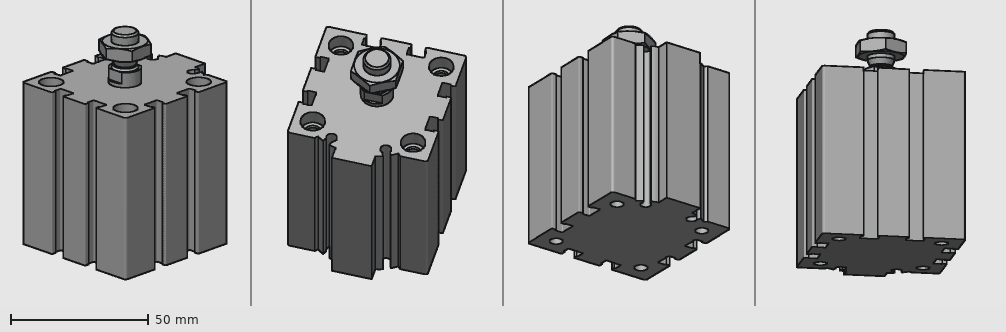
import cadquery as cq
import math

TOTAL_HEIGHT = 83.0
BODY_WIDTH = 53.0
TOTAL_DEPTH = 60.5
BODY_HEIGHT = 63.0
HALF_WIDTH = BODY_WIDTH / 2
CORNER_RADIUS = 1.0

RIB_WIDTH = 15.0
RIB_TOP_Y = TOTAL_DEPTH - HALF_WIDTH
RIB_BASE_Y = 29.0

SHOULDER_END = (10.45, 28.0)
SHOULDER_RADIUS = 5.2

LIP_END = (12.4, 27.4)
NOTCH_BOTTOM = (15.2, 25.5)
NOTCH_END_X = NOTCH_BOTTOM[0] + HALF_WIDTH - NOTCH_BOTTOM[1]

GROOVE_DIAMETER = 4.0
GROOVE_MOUTH = 2.8
GROOVE_CENTER = (10.3, 24.7)
GROOVE_TILT = 22.5
GROOVE_CUT_LENGTH = 6.6

SLOT_OFFSET = 8.5
SLOT_MOUTH = 5.5
SLOT_INNER = 6.6
SLOT_MOUTH_DEPTH = 1.8
SLOT_DEPTH = 5.1
SLOT_EDGE_RADIUS = 0.3

HOLE_PITCH = 38.0
HOLE_DIAMETER = 4.9
COUNTERBORE_DIAMETER = 9.0
COUNTERBORE_DEPTH = 5.7
HOLE_CHAMFER_DIAMETER = 6.0

ROD_DIAMETER = 12.0
THREAD_DIAMETER = 10.0
NECK_DIAMETER = 8.2
THREAD_TIP_DIAMETER = 8.55
THREAD_TIP_CHAMFER = 0.8
ROD_SHOULDER_Z = 68.8
NECK_BOTTOM_Z = 69.6
NECK_TOP_Z = 70.2
THREAD_BOTTOM_Z = 72.5
FLAT_BOTTOM_Z = 64.5
FLAT_SPACING = 10.0

NUT_ACROSS_FLATS = 17.0
NUT_BOTTOM_Z = 73.95
NUT_THICKNESS = 5.1
NUT_FACE_DIAMETER = 16.6
NUT_CHAMFER_HEIGHT = 0.5


def rib_and_shoulders():
    """Middle of the +Y half: rib, rounded shoulders, lips and notches."""
    half_rib = RIB_WIDTH / 2
    notch_x, notch_y = NOTCH_BOTTOM
    outline = (
        cq.Workplane("XY")
        .moveTo(-NOTCH_END_X, HALF_WIDTH)
        .lineTo(-notch_x, notch_y)
        .lineTo(-LIP_END[0], LIP_END[1])
        .lineTo(-SHOULDER_END[0], SHOULDER_END[1])
        .radiusArc((-half_rib, RIB_BASE_Y), SHOULDER_RADIUS)
        .lineTo(-half_rib, RIB_TOP_Y)
        .lineTo(half_rib, RIB_TOP_Y)
        .lineTo(half_rib, RIB_BASE_Y)
        .radiusArc(SHOULDER_END, SHOULDER_RADIUS)
        .lineTo(*LIP_END)
        .lineTo(notch_x, notch_y)
        .lineTo(NOTCH_END_X, HALF_WIDTH)
        .lineTo(NOTCH_END_X, 0)
        .lineTo(-NOTCH_END_X, 0)
        .close()
    )
    return outline.extrude(BODY_HEIGHT)


def square_block():
    """Square block with rounded corners, open where the rib and shoulders go."""
    block = (
        cq.Workplane("XY")
        .rect(BODY_WIDTH, BODY_WIDTH)
        .extrude(BODY_HEIGHT)
        .edges("|Z")
        .fillet(CORNER_RADIUS)
    )
    opening = (
        cq.Workplane("XY")
        .center(0, HALF_WIDTH / 2)
        .rect(2 * NOTCH_END_X, HALF_WIDTH)
        .extrude(BODY_HEIGHT)
    )
    return block.cut(opening)


def t_slot():
    """Cutter for one T-slot open towards -Y, with rounded mouth edges and inner corners."""
    face_y = -HALF_WIDTH
    step_y = face_y + SLOT_MOUTH_DEPTH
    half_mouth = SLOT_MOUTH / 2
    half_flare = half_mouth + SLOT_EDGE_RADIUS
    mouth = (
        cq.Workplane("XY")
        .moveTo(-half_flare, face_y)
        .radiusArc((-half_mouth, face_y + SLOT_EDGE_RADIUS), -SLOT_EDGE_RADIUS)
        .lineTo(-half_mouth, step_y)
        .lineTo(half_mouth, step_y)
        .lineTo(half_mouth, face_y + SLOT_EDGE_RADIUS)
        .radiusArc((half_flare, face_y), -SLOT_EDGE_RADIUS)
        .close()
        .extrude(BODY_HEIGHT)
    )
    inner_length = SLOT_DEPTH - SLOT_MOUTH_DEPTH
    inner = (
        cq.Workplane("XY")
        .center(0, step_y + inner_length / 2)
        .rect(SLOT_INNER, inner_length)
        .extrude(BODY_HEIGHT)
        .edges("|Z")
        .fillet(SLOT_EDGE_RADIUS)
    )
    return mouth.union(inner)


def sensor_groove(side):
    """Cutter for one keyhole groove; side is -1 or +1 and its mouth leans away from the rib."""
    bore = cq.Workplane("XY").circle(GROOVE_DIAMETER / 2).extrude(BODY_HEIGHT)
    mouth = (
        cq.Workplane("XY")
        .center(0, GROOVE_CUT_LENGTH / 2)
        .rect(GROOVE_MOUTH, GROOVE_CUT_LENGTH)
        .extrude(BODY_HEIGHT)
    )
    groove = bore.union(mouth).rotate((0, 0, 0), (0, 0, 1), -side * GROOVE_TILT)
    return groove.translate((side * GROOVE_CENTER[0], GROOVE_CENTER[1], 0))


def mounting_hole():
    """Cutter for one counterbored through hole with a chamfered edge on the counterbore floor."""
    floor_z = BODY_HEIGHT - COUNTERBORE_DEPTH
    hole_radius = HOLE_DIAMETER / 2
    chamfer_radius = HOLE_CHAMFER_DIAMETER / 2
    chamfer_depth = chamfer_radius - hole_radius
    profile = cq.Workplane("XZ").polyline([
        (0, 0),
        (hole_radius, 0),
        (hole_radius, floor_z - chamfer_depth),
        (chamfer_radius, floor_z),
        (COUNTERBORE_DIAMETER / 2, floor_z),
        (COUNTERBORE_DIAMETER / 2, BODY_HEIGHT),
        (0, BODY_HEIGHT),
    ]).close()
    return profile.revolve(360, (0, 0), (0, 1))


def make_housing():
    """Cylinder housing: an extruded profile with T-slots, sensor grooves and mounting holes."""
    housing = square_block().union(rib_and_shoulders())
    for turn in (-90, 0, 90):
        for offset in (-SLOT_OFFSET, SLOT_OFFSET):
            slot = t_slot().translate((offset, 0, 0))
            housing = housing.cut(slot.rotate((0, 0, 0), (0, 0, 1), turn))
    for side in (-1, 1):
        housing = housing.cut(sensor_groove(side))
    half_pitch = HOLE_PITCH / 2
    for x in (-half_pitch, half_pitch):
        for y in (-half_pitch, half_pitch):
            housing = housing.cut(mounting_hole().translate((x, y, 0)))
    return housing


def make_rod():
    """Piston rod end standing on the housing: wrench flats, necked relief and threaded tip."""
    thread_radius = THREAD_DIAMETER / 2
    neck_radius = NECK_DIAMETER / 2
    tip_radius = THREAD_TIP_DIAMETER / 2
    rod = cq.Workplane("XZ").polyline([
        (0, BODY_HEIGHT),
        (ROD_DIAMETER / 2, BODY_HEIGHT),
        (ROD_DIAMETER / 2, ROD_SHOULDER_Z),
        (thread_radius, ROD_SHOULDER_Z),
        (neck_radius, NECK_BOTTOM_Z),
        (neck_radius, NECK_TOP_Z),
        (thread_radius, THREAD_BOTTOM_Z),
        (thread_radius, TOTAL_HEIGHT - THREAD_TIP_CHAMFER),
        (tip_radius, TOTAL_HEIGHT),
        (0, TOTAL_HEIGHT),
    ]).close().revolve(360, (0, 0), (0, 1))
    flat_zone = (
        cq.Workplane("XY", origin=(0, 0, FLAT_BOTTOM_Z))
        .rect(ROD_DIAMETER, ROD_DIAMETER)
        .rect(ROD_DIAMETER, FLAT_SPACING)
        .extrude(ROD_SHOULDER_Z - FLAT_BOTTOM_Z)
    )
    return rod.cut(flat_zone)


def make_nut():
    """Hexagonal lock nut on the thread, with both faces chamfered at the corners."""
    corner_radius = NUT_ACROSS_FLATS / math.sqrt(3)
    face_radius = NUT_FACE_DIAMETER / 2
    hexagon = (
        cq.Workplane("XY")
        .polygon(6, 2 * corner_radius)
        .circle(THREAD_DIAMETER / 2)
        .extrude(NUT_THICKNESS)
        .rotate((0, 0, 0), (0, 0, 1), 90)
    )
    chamfer_envelope = cq.Workplane("XZ").polyline([
        (0, 0),
        (face_radius, 0),
        (corner_radius, NUT_CHAMFER_HEIGHT),
        (corner_radius, NUT_THICKNESS - NUT_CHAMFER_HEIGHT),
        (face_radius, NUT_THICKNESS),
        (0, NUT_THICKNESS),
    ]).close().revolve(360, (0, 0), (0, 1))
    return hexagon.intersect(chamfer_envelope).translate((0, 0, NUT_BOTTOM_Z))


housing = make_housing()
rod = make_rod()
nut = make_nut()

result = cq.Compound.makeCompound([housing.val(), rod.val(), nut.val()])